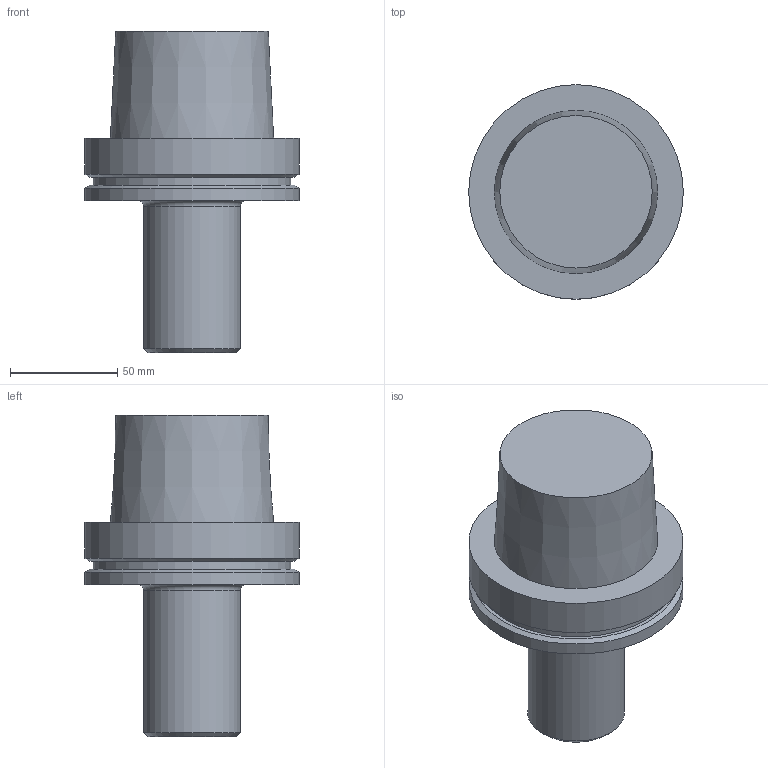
import cadquery as cq

taper_length = 49.95
taper_base_diameter = 76.0
taper_tip_diameter = 71.0

flange_diameter = 99.93
flange_thickness = 28.95
groove_floor_diameter = 91.95
groove_shoulder_diameter = 95.35
groove_top_depth = 16.7
groove_bottom_depth = 23.2
groove_bevel_height = 1.3

overall_length = 149.85
shank_diameter = 45.0
shank_chamfer = 2.0
shank_root_fillet = 2.65

flange_bottom_z = -flange_thickness
shank_bottom_z = taper_length - overall_length


def revolve_profile(profile):
    """Turn a closed half profile (radius, Z) about the Z axis."""
    return profile.close().revolve(360, (0, 0), (0, 1))


def make_taper():
    """Solid cone frustum standing on the flange top face (Z = 0)."""
    points = [
        (0, 0),
        (taper_base_diameter / 2, 0),
        (taper_tip_diameter / 2, taper_length),
        (0, taper_length),
    ]
    return revolve_profile(cq.Workplane("XZ").polyline(points))


def make_flange():
    """Disc with a stepped, bevelled groove around its rim."""
    outer = flange_diameter / 2
    shoulder = groove_shoulder_diameter / 2
    floor = groove_floor_diameter / 2
    floor_top_z = -groove_top_depth - groove_bevel_height
    floor_bottom_z = -groove_bottom_depth + groove_bevel_height
    points = [
        (0, 0),
        (outer, 0),
        (outer, -groove_top_depth),
        (shoulder, floor_top_z),
        (floor, floor_top_z),
        (floor, floor_bottom_z),
        (shoulder, floor_bottom_z),
        (outer, -groove_bottom_depth),
        (outer, flange_bottom_z),
        (0, flange_bottom_z),
    ]
    return revolve_profile(cq.Workplane("XZ").polyline(points))


def make_shank():
    """Shank with a chamfered end and a concave fillet where it meets the flange."""
    radius = shank_diameter / 2
    fillet_bottom_z = flange_bottom_z - shank_root_fillet
    profile = (
        cq.Workplane("XZ")
        .moveTo(0, flange_bottom_z)
        .lineTo(radius + shank_root_fillet, flange_bottom_z)
        .radiusArc((radius, fillet_bottom_z), -shank_root_fillet)
        .lineTo(radius, shank_bottom_z + shank_chamfer)
        .lineTo(radius - shank_chamfer, shank_bottom_z)
        .lineTo(0, shank_bottom_z)
    )
    return revolve_profile(profile)


result = make_flange().union(make_taper()).union(make_shank())